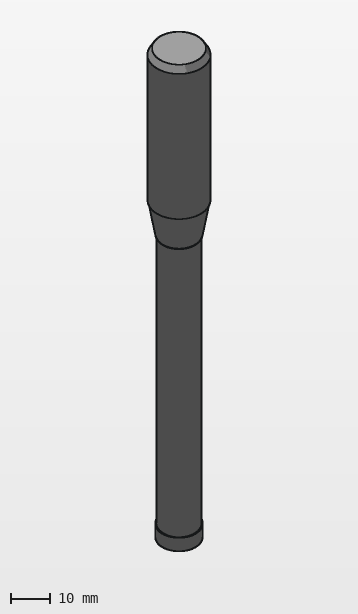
import cadquery as cq
import math

total_length = 157.1
shank_diameter = 15.9
neck_diameter = 11.3
head_diameter = 12.0

head_top = 6.5
taper_bottom = 98.2
shank_bottom = 109.0

point_angle = 140.0
chamfer_height = 2.0
chamfer_width = 1.18
taper_top_diameter = 15.4
taper_bottom_diameter = 12.0
bevel_height = 0.5

shank_radius = shank_diameter / 2
neck_radius = neck_diameter / 2
head_radius = head_diameter / 2
point_height = head_radius / math.tan(math.radians(point_angle / 2))


def revolve_about_z(profile):
    """Turn a closed (radius, height) profile around the Z axis."""
    return (
        cq.Workplane("XZ")
        .polyline(profile)
        .close()
        .revolve(360, (0, 0, 0), (0, 1, 0))
    )


def make_holder():
    """Neck, taper and chamfered shank, with a narrow bevel at each end of the taper."""
    return revolve_about_z([
        (0, head_top),
        (neck_radius, head_top),
        (neck_radius, taper_bottom - bevel_height),
        (taper_bottom_diameter / 2, taper_bottom),
        (taper_top_diameter / 2, shank_bottom - bevel_height),
        (shank_radius, shank_bottom),
        (shank_radius, total_length - chamfer_height),
        (shank_radius - chamfer_width, total_length),
        (0, total_length),
    ])


def make_cutting_head():
    """Short cylinder with a conical point, seated flat against the neck."""
    return revolve_about_z([
        (0, 0),
        (head_radius, point_height),
        (head_radius, head_top),
        (0, head_top),
    ])


holder = make_holder()
cutting_head = make_cutting_head()

result = cq.Compound.makeCompound([holder.val(), cutting_head.val()])